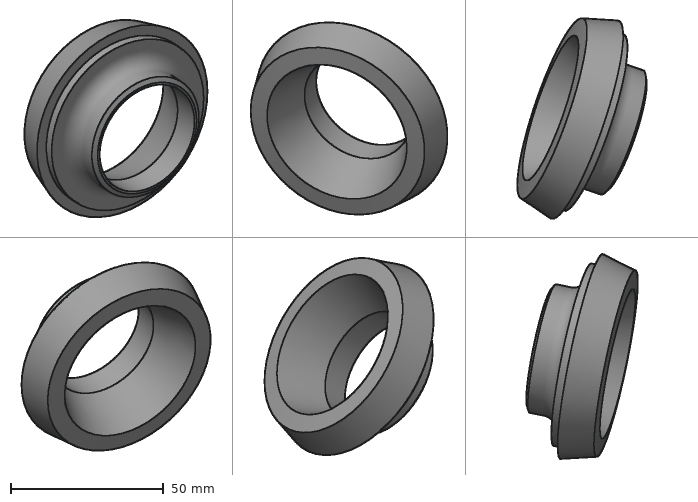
import cadquery as cq

rim_x = 0.55
seat_x = 12.05
flange_x = 15.1
neck_x = 20.0
chamfer_x = 25.1
length = 26.0

face_inner_radius = 25.5
rim_radius = 31.2
seat_radius = 34.25
flange_radius = 61.0 / 2
neck_radius = 43.0 / 2
end_radius = 19.85

bore_radius = 38.0 / 2
mouth_radius = 25.0
taper_end_x = 16.6

neck_fillet = neck_x - flange_x
fillet_mid = neck_fillet * 0.5 ** 0.5

profile = (
    cq.Workplane("XY")
    .moveTo(0, face_inner_radius)
    .lineTo(rim_x, rim_radius)
    .lineTo(seat_x, seat_radius)
    .lineTo(seat_x, flange_radius)
    .lineTo(flange_x, flange_radius)
    .lineTo(flange_x, neck_radius + neck_fillet)
    .threePointArc(
        (neck_x - fillet_mid, neck_radius + neck_fillet - fillet_mid),
        (neck_x, neck_radius),
    )
    .lineTo(chamfer_x, neck_radius)
    .lineTo(length, end_radius)
    .lineTo(length, bore_radius)
    .lineTo(taper_end_x, bore_radius)
    .lineTo(0, mouth_radius)
    .close()
)

result = profile.revolve(360, (0, 0, 0), (1, 0, 0))